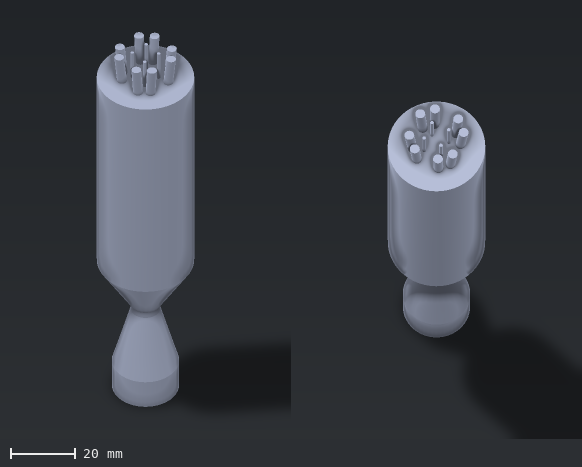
import cadquery as cq

total_height = 136.5
pin_length = 10.0
body_top = total_height - pin_length
body_length = 75.1
body_bottom = body_top - body_length
skirt_height = 10.1
throat_bottom = 31.5
throat_length = 2.0
throat_top = throat_bottom + throat_length

body_radius = 15.0
throat_radius = 4.6
skirt_radius = 10.4

large_pin_radius = 1.5
large_pin_count = 8
pin_base_along = 6.4
pin_top_along = 7.4
pin_base_across = 3.7
pin_top_across = 4.0

small_pin_radius = 0.5
small_pin_offset = 2.9

pin_root = 1.4


def make_body():
    """Cylinder tapering to a throat and widening again to a short skirt."""
    return (
        cq.Workplane("XZ")
        .moveTo(0, 0)
        .lineTo(skirt_radius, 0)
        .lineTo(skirt_radius, skirt_height)
        .lineTo(throat_radius, throat_bottom)
        .lineTo(throat_radius, throat_top)
        .lineTo(body_radius, body_bottom)
        .lineTo(body_radius, body_top)
        .lineTo(0, body_top)
        .close()
        .revolve(360, (0, 0, 0), (0, 1, 0))
    )


def make_large_pin(side):
    """Sheared round pin near +X, leaning outward; side is +1 or -1 in Y."""
    base_center = cq.Vector(pin_base_along, side * pin_base_across, body_top)
    top_center = cq.Vector(pin_top_along, side * pin_top_across, total_height)
    root_center = base_center - (top_center - base_center) * (pin_root / pin_length)
    up = cq.Vector(0, 0, 1)
    ends = [
        cq.Wire.makeCircle(large_pin_radius, center, up)
        for center in (root_center, top_center)
    ]
    return cq.Solid.makeLoft(ends, True)


def make_small_pins():
    """Four thin upright pins around the axis."""
    side = 2 * small_pin_offset
    return (
        cq.Workplane("XY", origin=(0, 0, body_top - pin_root))
        .rect(side, side, forConstruction=True)
        .vertices()
        .circle(small_pin_radius)
        .extrude(pin_length + pin_root)
    )


result = make_body().union(make_small_pins())
for quarter in range(large_pin_count // 2):
    for side in (-1, 1):
        pin = make_large_pin(side).rotate(cq.Vector(0, 0, 0), cq.Vector(0, 0, 1), 90 * quarter)
        result = result.union(pin)